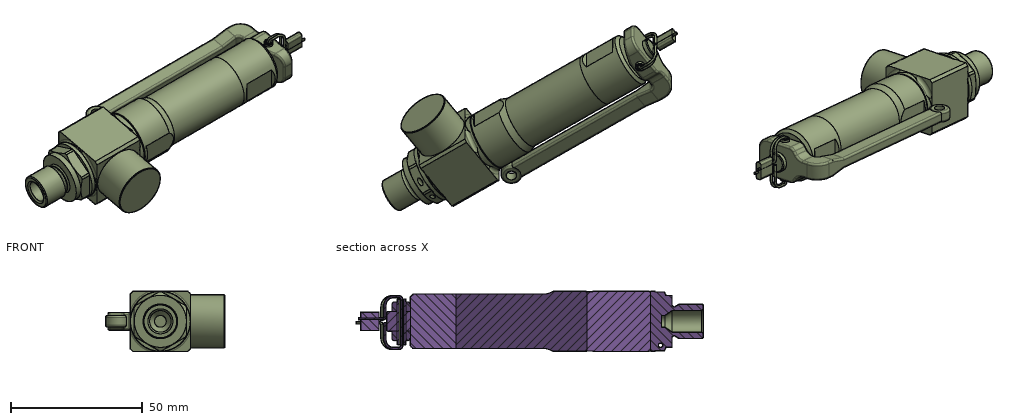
import cadquery as cq
import math


TOTAL_LENGTH = 132.4
STUB_END_Y = 9.3
FLANGE_Y = 11.9
HEX_Y = 14.2
DISC_Y = 18.4
HOUSING_Y = 20.0
BLOCK_BOTTOM_Y = 20.8
BLOCK_TOP_Y = 42.0
BONNET_Y = 44.5
CAP_Y = 94.4
CAP_TOP_Y = 111.9

BLOCK_WIDTH = 23.0
BLOCK_CHAMFER = 1.0
HALF_BLOCK = BLOCK_WIDTH / 2
NECK_RADIUS = HALF_BLOCK - 0.1
LOWER_COVE = BLOCK_BOTTOM_Y - HOUSING_Y
UPPER_COVE = 1.5
OUTLET_RADIUS = 10.2
OUTLET_END_X = 24.6
OUTLET_CHAMFER = 0.3
SEAM_CHAMFER = 0.2

STUB_RADIUS = 6.6
STUB_CHAMFER = 0.4
GROOVE_RADIUS = 5.5
GROOVE_TAPER_RADIUS = 6.1
GROOVE_TAPER_END_Y = 10.0
GROOVE_START_Y = 11.0
GROOVE_END_Y = 11.3
FLANGE_RADIUS = 9.9
HEX_ACROSS_FLATS = 20.0
HEX_CORNER_RADIUS = 11.3
HEX_CHAMFER_RISE = 0.7
BORE_LIP_RADIUS = 4.8
BORE_RADIUS = 4.1
BORE_END_RADIUS = 2.3
BORE_CONE_Y = 11.9
BORE_CONE_END_Y = 14.5
BORE_DEPTH = 15.9
SEAL_HOLE_RADIUS = 0.8
SEAL_HOLE_Z = -9.1

BONNET_RADIUS = HALF_BLOCK
BODY_RADIUS = 10.5
BONNET_TAPER_Y = 57.2
BODY_START_Y = 60.0
BONNET_FLAT_X = 10.7
BONNET_FLAT_Y = 45.8
CAP_FLAT_X = 9.4
CAP_FLAT_BOTTOM_Y = 96.7
CAP_FLAT_TOP_Y = 108.7
CAP_CHAMFER = 1.2

ARM_X = -17.0
ARM_WIDTH = 6.2
ARM_HALF_THICKNESS = 2.1
ARM_LEFT_X = ARM_X - ARM_WIDTH / 2
ARM_RIGHT_X = ARM_X + ARM_WIDTH / 2
EYE_Y = 44.0
EYE_RADIUS = 4.0
EYE_HALF_THICKNESS = 2.3
EYE_HOLE_RADIUS = 2.0
TAPER_BOTTOM_Y = 104.0
NECK_HALF_THICKNESS = 3.5
HEAD_BOTTOM_Y = CAP_TOP_Y
HEAD_TOP_Y = 118.8
HEAD_END_X = 10.2
HEAD_HALF_WIDTH = 7.4
HEAD_SHOULDER_INNER_X = -9.8
HEAD_SHOULDER_OUTER_X = -6.8
SHOULDER_INNER_FILLET = 4.0
SHOULDER_OUTER_FILLET = 2.8
HEAD_CORNER_FILLET = 4.5
HEAD_SLOPE_X = 2.4
HEAD_SLOPE_RISE = 2.6
HEAD_SLOPE_FILLET = 4.0
BEND_OUTER_RADIUS = 6.0
BEND_INNER_RADIUS = 1.6
TAPER_TOP_Y = HEAD_BOTTOM_Y - BEND_INNER_RADIUS
LEVER_EDGE_FILLET = 0.8

SPINDLE_RADIUS = 3.8
SPINDLE_TOP_Y = 120.8
SPINDLE_CHAMFER = 0.4
PIN_Y = 115.1
PIN_RADIUS = 1.7
PIN_BOTTOM_Z = -9.0
PIN_TOP_Z = 8.6
PIN_CHAMFER = 0.3
PIN_BORE_RADIUS = 0.99

WIRE_RADIUS = 0.45
WIRE_X = 0.46
WIRE_TOP_Z = 9.4
WIRE_BOTTOM_Z = -10.3
PIN_BEND = 1.0
TAIL_BEND = 0.7
WIRE_FREE_END_Z = 0.4
OUTER_WIRE_Y = 122.6
OUTER_WIRE_BEND = 4.0
OUTER_TAIL_Z = -0.6
INNER_WIRE_Y = 121.4
INNER_WIRE_BEND = 3.2
INNER_TAIL_Z = 0.99
INNER_TAIL_END_Y = 131.6
TAG_BOTTOM_Y = 123.7
TAG_TOP_Y = 130.7
TAG_THICKNESS = 2.4
TAG_WIDTH = 7.0
TAG_FILLET = 0.8


def box(x0, x1, y0, y1, z0, z1):
    """Axis-aligned box between two opposite corners."""
    return cq.Workplane("XY").box(x1 - x0, y1 - y0, z1 - z0, centered=False).translate((x0, y0, z0))


def turned(points):
    """Body of revolution about the valve axis from (radius, y) points."""
    return cq.Workplane("XY").polyline(points).close().revolve(360, (0, 0, 0), (0, 1, 0))


def cylinder_y(radius, y0, y1):
    """Cylinder on the valve axis."""
    return turned([(0, y0), (radius, y0), (radius, y1), (0, y1)])


def cylinder_z(x, y, radius, z0, z1):
    """Cylinder parallel to Z."""
    return cq.Workplane("XY").center(x, y).circle(radius).extrude(z1 - z0).translate((0, 0, z0))


def neck_cove(shoulder_y, cove, direction):
    """Cove between neck and block shoulder, thinning out where the shoulder narrows at each flat.

    The direction is +1 for a neck that points to +Y and -1 for one that points to -Y.
    """
    rim_radius = NECK_RADIUS + cove
    end_y = shoulder_y + direction * cove
    middle_offset = cove * (1 - math.sqrt(0.5))
    ring = (
        cq.Workplane("XY")
        .moveTo(0, shoulder_y)
        .lineTo(rim_radius, shoulder_y)
        .threePointArc(
            (NECK_RADIUS + middle_offset, shoulder_y + direction * middle_offset),
            (NECK_RADIUS, end_y),
        )
        .lineTo(0, end_y)
        .close()
        .revolve(360, (0, 0, 0), (0, 1, 0))
    )
    frustum = (
        cq.Workplane("XZ", origin=(0, shoulder_y, 0))
        .rect(BLOCK_WIDTH, BLOCK_WIDTH)
        .workplane(offset=-direction * cove)
        .rect(BLOCK_WIDTH - 2 * cove, BLOCK_WIDTH - 2 * cove)
        .loft(ruled=True)
    )
    return ring.intersect(frustum)


def make_housing():
    """Square block with a round outlet on +X and a coved round neck at each end."""
    block = box(-HALF_BLOCK, HALF_BLOCK, BLOCK_BOTTOM_Y, BLOCK_TOP_Y, -HALF_BLOCK, HALF_BLOCK)
    block = block.edges("|Y").chamfer(BLOCK_CHAMFER)
    neck = cylinder_y(NECK_RADIUS, HOUSING_Y, BONNET_Y).faces(">Y").chamfer(SEAM_CHAMFER)
    outlet = (
        cq.Workplane("YZ")
        .center((BLOCK_BOTTOM_Y + BLOCK_TOP_Y) / 2, 0)
        .circle(OUTLET_RADIUS)
        .extrude(OUTLET_END_X)
        .faces(">X")
        .chamfer(OUTLET_CHAMFER)
    )
    lower_cove = neck_cove(BLOCK_BOTTOM_Y, LOWER_COVE, -1)
    upper_cove = neck_cove(BLOCK_TOP_Y, UPPER_COVE, 1)
    return block.union(neck).union(lower_cove).union(upper_cove).union(outlet)


def make_nozzle():
    """Inlet stub, undercut, flange, hexagon and disc with a stepped blind bore."""
    stub_and_flange = turned([
        (0, 0),
        (STUB_RADIUS - STUB_CHAMFER, 0),
        (STUB_RADIUS, STUB_CHAMFER),
        (STUB_RADIUS, STUB_END_Y),
        (GROOVE_TAPER_RADIUS, GROOVE_TAPER_END_Y),
        (GROOVE_RADIUS, GROOVE_START_Y),
        (GROOVE_RADIUS, GROOVE_END_Y),
        (GROOVE_TAPER_RADIUS, FLANGE_Y),
        (FLANGE_RADIUS, FLANGE_Y),
        (FLANGE_RADIUS, HEX_Y),
        (0, HEX_Y),
    ])
    corner_diameter = HEX_ACROSS_FLATS / math.cos(math.radians(30))
    hexagon = (
        cq.Workplane("ZX")
        .polygon(6, corner_diameter)
        .extrude(DISC_Y - HEX_Y)
        .translate((0, HEX_Y, 0))
    )
    hexagon = hexagon.intersect(turned([
        (0, HEX_Y),
        (FLANGE_RADIUS, HEX_Y),
        (HEX_CORNER_RADIUS, HEX_Y + HEX_CHAMFER_RISE),
        (HEX_CORNER_RADIUS, DISC_Y),
        (0, DISC_Y),
    ]))
    seal_hole = (
        cq.Workplane("YZ")
        .center((HEX_Y + DISC_Y) / 2, SEAL_HOLE_Z)
        .circle(SEAL_HOLE_RADIUS)
        .extrude(HALF_BLOCK, both=True)
    )
    bore = turned([
        (0, 0),
        (BORE_LIP_RADIUS, 0),
        (BORE_RADIUS, BORE_LIP_RADIUS - BORE_RADIUS),
        (BORE_RADIUS, BORE_CONE_Y),
        (BORE_END_RADIUS, BORE_CONE_END_Y),
        (BORE_END_RADIUS, BORE_DEPTH),
        (0, BORE_DEPTH),
    ])
    disc = cylinder_y(HALF_BLOCK, DISC_Y, HOUSING_Y)
    return stub_and_flange.union(hexagon.cut(seal_hole)).union(disc).cut(bore)


def make_bonnet():
    """Spring bonnet: wide base with two flats, tapering to the long round body."""
    bonnet = turned([
        (0, BONNET_Y),
        (BONNET_RADIUS - SEAM_CHAMFER, BONNET_Y),
        (BONNET_RADIUS, BONNET_Y + SEAM_CHAMFER),
        (BONNET_RADIUS, BONNET_TAPER_Y),
        (BODY_RADIUS, BODY_START_Y),
        (BODY_RADIUS, CAP_Y),
        (0, CAP_Y),
    ])
    flat = box(BONNET_FLAT_X, BONNET_RADIUS, BONNET_FLAT_Y, BODY_START_Y, -BONNET_RADIUS, BONNET_RADIUS)
    return bonnet.cut(flat).cut(flat.mirror("YZ"))


def make_cap():
    """Cap with a chamfered top and two wrench flats whose ends slope outwards at 45 degrees."""
    cap = turned([
        (0, CAP_Y),
        (BODY_RADIUS, CAP_Y),
        (BODY_RADIUS, CAP_TOP_Y - CAP_CHAMFER),
        (BODY_RADIUS - CAP_CHAMFER, CAP_TOP_Y),
        (0, CAP_TOP_Y),
    ])
    depth = BODY_RADIUS - CAP_FLAT_X
    flat = (
        cq.Workplane("XY")
        .polyline([
            (CAP_FLAT_X, CAP_FLAT_BOTTOM_Y),
            (BODY_RADIUS, CAP_FLAT_BOTTOM_Y - depth),
            (BODY_RADIUS, CAP_FLAT_TOP_Y + depth),
            (CAP_FLAT_X, CAP_FLAT_TOP_Y),
        ])
        .close()
        .extrude(BODY_RADIUS, both=True)
    )
    return cap.cut(flat).cut(flat.mirror("YZ"))


def make_spindle():
    """Spindle end that rises from the cap through the lever head."""
    spindle = cylinder_y(SPINDLE_RADIUS, CAP_TOP_Y, SPINDLE_TOP_Y).faces(">Y").chamfer(SPINDLE_CHAMFER)
    return spindle.cut(cylinder_z(0, PIN_Y, PIN_RADIUS, PIN_BOTTOM_Z, PIN_TOP_Z))


def nearest(x, y, z):
    """Selector for the edge nearest to a point."""
    return cq.selectors.NearestToPointSelector((x, y, z))


def lever_bent_bar():
    """Bent lever shape in the X-Y plane, as wide as the head."""
    bar = (
        cq.Workplane("XY")
        .polyline([
            (ARM_LEFT_X, EYE_Y),
            (ARM_RIGHT_X, EYE_Y),
            (ARM_RIGHT_X, HEAD_BOTTOM_Y),
            (HEAD_SLOPE_X, HEAD_BOTTOM_Y),
            (HEAD_END_X, HEAD_BOTTOM_Y + HEAD_SLOPE_RISE),
            (HEAD_END_X, HEAD_TOP_Y),
            (ARM_LEFT_X, HEAD_TOP_Y),
        ])
        .close()
        .extrude(HEAD_HALF_WIDTH, both=True)
    )
    bar = bar.edges("|Z").edges(nearest(ARM_LEFT_X, HEAD_TOP_Y, 0)).fillet(BEND_OUTER_RADIUS)
    bar = bar.edges("|Z").edges(nearest(ARM_RIGHT_X, HEAD_BOTTOM_Y, 0)).fillet(BEND_INNER_RADIUS)
    return bar.edges("|Z").edges(nearest(HEAD_SLOPE_X, HEAD_BOTTOM_Y, 0)).fillet(HEAD_SLOPE_FILLET)


def lever_head_plan():
    """Head and neck outline in the X-Z plane, with rounded shoulders and corners."""
    half_outline = [
        (ARM_LEFT_X, NECK_HALF_THICKNESS),
        (HEAD_SHOULDER_INNER_X, NECK_HALF_THICKNESS),
        (HEAD_SHOULDER_OUTER_X, HEAD_HALF_WIDTH),
        (HEAD_END_X, HEAD_HALF_WIDTH),
    ]
    mirrored_half = [(x, -z) for x, z in reversed(half_outline)]
    head_plan = (
        cq.Workplane("XZ", origin=(0, HEAD_TOP_Y, 0))
        .polyline(half_outline + mirrored_half)
        .close()
        .extrude(HEAD_TOP_Y - TAPER_TOP_Y)
    )
    corner_fillets = [
        (HEAD_SHOULDER_INNER_X, NECK_HALF_THICKNESS, SHOULDER_INNER_FILLET),
        (HEAD_SHOULDER_OUTER_X, HEAD_HALF_WIDTH, SHOULDER_OUTER_FILLET),
        (HEAD_END_X, HEAD_HALF_WIDTH, HEAD_CORNER_FILLET),
    ]
    plan_middle_y = (HEAD_TOP_Y + TAPER_TOP_Y) / 2
    for x, z, radius in corner_fillets:
        for side in (-1, 1):
            corner = nearest(x, plan_middle_y, side * z)
            head_plan = head_plan.edges("|Y").edges(corner).fillet(radius)
    return head_plan


def lever_arm_plan():
    """Arm outline in the Y-Z plane, widening towards the neck."""
    return (
        cq.Workplane("YZ", origin=(ARM_LEFT_X, 0, 0))
        .polyline([
            (EYE_Y, -ARM_HALF_THICKNESS),
            (TAPER_BOTTOM_Y, -ARM_HALF_THICKNESS),
            (TAPER_TOP_Y, -NECK_HALF_THICKNESS),
            (TAPER_TOP_Y, NECK_HALF_THICKNESS),
            (TAPER_BOTTOM_Y, ARM_HALF_THICKNESS),
            (EYE_Y, ARM_HALF_THICKNESS),
        ])
        .close()
        .extrude(ARM_WIDTH)
    )


def round_long_edges(lever):
    """Round the long edges of head, taper and arm; each rounding runs on along its smooth chain."""
    taper_middle_y = (TAPER_BOTTOM_Y + TAPER_TOP_Y) / 2
    taper_middle_z = (ARM_HALF_THICKNESS + NECK_HALF_THICKNESS) / 2
    arm_middle_y = (EYE_Y + TAPER_BOTTOM_Y) / 2
    long_edges = cq.Workplane("XY").newObject([])
    for side in (-1, 1):
        edge_points = [
            (0, HEAD_TOP_Y, side * HEAD_HALF_WIDTH),
            (0, HEAD_BOTTOM_Y, side * HEAD_HALF_WIDTH),
            (ARM_LEFT_X, taper_middle_y, side * taper_middle_z),
            (ARM_RIGHT_X, taper_middle_y, side * taper_middle_z),
            (ARM_LEFT_X, arm_middle_y, side * ARM_HALF_THICKNESS),
            (ARM_RIGHT_X, arm_middle_y, side * ARM_HALF_THICKNESS),
        ]
        for point in edge_points:
            long_edges = long_edges.add(lever.edges(nearest(*point)))
    return lever.newObject(long_edges.vals()).fillet(LEVER_EDGE_FILLET)


def make_lever():
    """Bent lever: wide head over the cap, neck, tapered arm and an eye at the free end."""
    lever = lever_bent_bar().intersect(lever_head_plan().union(lever_arm_plan())).clean()
    lever = round_long_edges(lever)
    eye = cylinder_z(ARM_X, EYE_Y, EYE_RADIUS, -EYE_HALF_THICKNESS, EYE_HALF_THICKNESS)
    lever = lever.union(eye.faces("|Z").edges().fillet(LEVER_EDGE_FILLET))

    lever = lever.cut(cylinder_z(ARM_X, EYE_Y, EYE_HOLE_RADIUS, -EYE_HALF_THICKNESS, EYE_HALF_THICKNESS))
    lever = lever.cut(cylinder_y(SPINDLE_RADIUS, HEAD_BOTTOM_Y, HEAD_TOP_Y))
    return lever.cut(cylinder_z(0, PIN_Y, PIN_RADIUS, PIN_BOTTOM_Z, PIN_TOP_Z))


def make_pin():
    """Hollow cross pin through lever head and spindle."""
    pin = cylinder_z(0, PIN_Y, PIN_RADIUS, PIN_BOTTOM_Z, PIN_TOP_Z).faces("|Z").chamfer(PIN_CHAMFER)
    return pin.cut(cylinder_z(0, PIN_Y, PIN_BORE_RADIUS, PIN_BOTTOM_Z, PIN_TOP_Z))


def make_wire(x, strand_y, loop_bend, tail_z, tail_end_y, side):
    """Wire looped through the pin in a plane of constant x.

    It leaves the tag at tail_z, turns to the given side (+1 up, -1 down), passes through
    the pin and comes back along the same strand line to a free end.
    """
    near_z, far_z = (WIRE_TOP_Z, WIRE_BOTTOM_Z) if side > 0 else (WIRE_BOTTOM_Z, WIRE_TOP_Z)
    path = (
        cq.Workplane("YZ", origin=(x, 0, 0))
        .moveTo(tail_end_y, tail_z)
        .lineTo(strand_y + TAIL_BEND, tail_z)
        .tangentArcPoint((strand_y, tail_z + side * TAIL_BEND), relative=False)
        .lineTo(strand_y, near_z - side * loop_bend)
        .tangentArcPoint((strand_y - loop_bend, near_z), relative=False)
        .lineTo(PIN_Y + PIN_BEND, near_z)
        .tangentArcPoint((PIN_Y, near_z - side * PIN_BEND), relative=False)
        .lineTo(PIN_Y, far_z + side * PIN_BEND)
        .tangentArcPoint((PIN_Y + PIN_BEND, far_z), relative=False)
        .lineTo(strand_y - loop_bend, far_z)
        .tangentArcPoint((strand_y, far_z + side * loop_bend), relative=False)
        .lineTo(strand_y, -side * WIRE_FREE_END_Z)
    )
    start = cq.Workplane("XZ", origin=(x, tail_end_y, tail_z))
    return start.circle(WIRE_RADIUS).sweep(path)


def make_tag(wires):
    """Seal tag crimped around the two wire tails."""
    half_thickness = TAG_THICKNESS / 2
    half_width = TAG_WIDTH / 2
    tag = box(-half_thickness, half_thickness, TAG_BOTTOM_Y, TAG_TOP_Y, -half_width, half_width)
    tag = tag.edges("|Y").fillet(TAG_FILLET)
    for wire in wires:
        tag = tag.cut(wire)
    return tag


housing = make_housing()
nozzle = make_nozzle()
bonnet = make_bonnet()
cap = make_cap()
spindle = make_spindle()
lever = make_lever()
pin = make_pin()
outer_wire = make_wire(WIRE_X, OUTER_WIRE_Y, OUTER_WIRE_BEND, OUTER_TAIL_Z, TOTAL_LENGTH, -1)
inner_wire = make_wire(-WIRE_X, INNER_WIRE_Y, INNER_WIRE_BEND, INNER_TAIL_Z, INNER_TAIL_END_Y, 1)
tag = make_tag([outer_wire, inner_wire])

bodies = [housing, nozzle, bonnet, cap, spindle, lever, pin, outer_wire, inner_wire, tag]
result = cq.Compound.makeCompound([body.solids().val() for body in bodies])